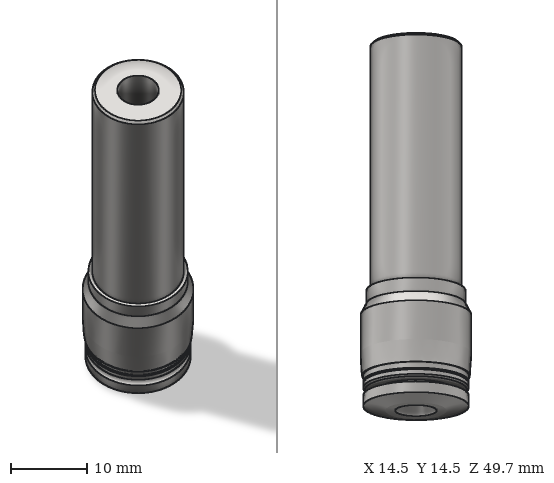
import cadquery as cq

stem_diameter = 12.0
bore_diameter = 5.4
collar_diameter = 13.0
body_diameter = 14.5
taper_end_diameter = 14.1
ring_diameter = 13.8
neck_diameter = 9.8
end_face_diameter = 8.0

total_height = 49.7
cap_edge_height = 0.6
cap_top = 2.05
ring_bottom = 2.85
groove_middle = 3.85
ring_top = 4.7
barrel_bottom = 7.7
barrel_top = 12.95
collar_bottom = 14.4
collar_top = 16.25

stem_chamfer = 0.35
ring_chamfer = 0.25
groove_width = 0.2
groove_depth = 0.15


def make_cylinder(diameter, bottom, top):
    return cq.Workplane("XY").workplane(offset=bottom).circle(diameter / 2).extrude(top - bottom)


def make_stem():
    stem = make_cylinder(stem_diameter, collar_top, total_height)
    return stem.faces(">Z").chamfer(stem_chamfer)


def make_body():
    """Revolve the collar, shoulder, barrel and curved taper down to the ring."""
    body_radius = body_diameter / 2
    ring_radius = ring_diameter / 2
    profile = (
        cq.Workplane("XZ")
        .moveTo(0, collar_top)
        .lineTo(collar_diameter / 2, collar_top)
        .lineTo(collar_diameter / 2, collar_bottom)
        .lineTo(body_radius, barrel_top)
        .lineTo(body_radius, barrel_bottom)
        .tangentArcPoint((taper_end_diameter / 2, ring_top), relative=False)
        .lineTo(ring_radius, ring_top)
        .lineTo(ring_radius, ring_bottom + ring_chamfer)
        .lineTo(ring_radius - ring_chamfer, ring_bottom)
        .lineTo(0, ring_bottom)
        .close()
    )
    return profile.revolve(360, (0, 0, 0), (0, 1, 0))


def make_ring_groove():
    bottom = groove_middle - groove_width / 2
    top = groove_middle + groove_width / 2
    core = make_cylinder(ring_diameter - 2 * groove_depth, bottom, top)
    return make_cylinder(body_diameter, bottom, top).cut(core)


def make_release_cap():
    """Revolve the disc with its shallow conical underside."""
    cap_radius = ring_diameter / 2
    profile = (
        cq.Workplane("XZ")
        .moveTo(0, 0)
        .lineTo(end_face_diameter / 2, 0)
        .lineTo(cap_radius, cap_edge_height)
        .lineTo(cap_radius, cap_top)
        .lineTo(0, cap_top)
        .close()
    )
    return profile.revolve(360, (0, 0, 0), (0, 1, 0))


neck = make_cylinder(neck_diameter, cap_top, ring_bottom)
bore = make_cylinder(bore_diameter, 0, total_height)
body = make_body().cut(make_ring_groove())

result = make_release_cap().union(neck).union(body).union(make_stem()).cut(bore)